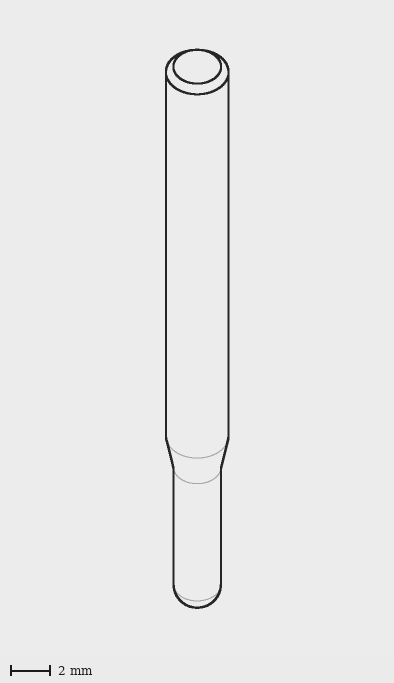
import cadquery as cq

total_length = 38.1
shank_radius = 3.15 / 2
tip_radius = 2.4 / 2
chamfer = 0.4
taper_bottom = 9.55
taper_length = 2.2

taper_top = taper_bottom + taper_length
arc_middle = tip_radius * 0.5 ** 0.5

profile = (
    cq.Workplane("XZ")
    .threePointArc((arc_middle, tip_radius - arc_middle), (tip_radius, tip_radius))
    .lineTo(tip_radius, taper_bottom)
    .lineTo(shank_radius, taper_top)
    .lineTo(shank_radius, total_length - chamfer)
    .lineTo(shank_radius - chamfer, total_length)
    .lineTo(0, total_length)
    .close()
)

result = profile.revolve(360, (0, 0, 0), (0, 1, 0))